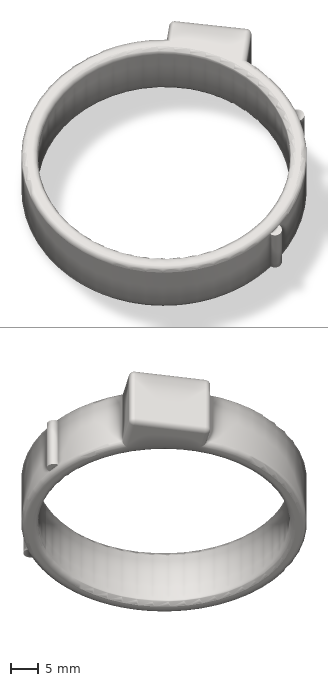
import cadquery as cq
import math

RING_OUTER_RADIUS = 26.0
WALL_THICKNESS = 3.0
RING_HEIGHT = 12.0
EDGE_RADIUS = 1.0
BORE_RADIUS = RING_OUTER_RADIUS - WALL_THICKNESS

BLOCK_TURN = 26.5
BLOCK_WIDTH = 15.1
BLOCK_OFFSET = 4.65
BLOCK_REACH = 30.1

INSERT_START_ANGLE = -5.0
INSERT_SPAN = 60.0
INSERT_THICKNESS = 1.0
INSERT_HEIGHT = RING_HEIGHT - 2 * EDGE_RADIUS

RIB_RADIUS = 1.3
RIB_HEIGHT = INSERT_HEIGHT


def disc(radius, height):
    """Cylinder about the Z axis, centred on the XY plane."""
    return cq.Workplane("XY").circle(radius).extrude(height / 2, both=True)


def make_block():
    """Block reaching from the ring axis out to its flat outer face, with rounded corners."""
    block = (
        cq.Workplane("XY")
        .center(BLOCK_OFFSET, BLOCK_REACH / 2)
        .rect(BLOCK_WIDTH, BLOCK_REACH)
        .extrude(RING_HEIGHT / 2, both=True)
        .edges("|Z and >Y")
        .fillet(EDGE_RADIUS)
    )
    return block.rotate((0, 0, 0), (0, 0, 1), BLOCK_TURN)


def make_ribs():
    """Two upright round ribs, centred on the outer surface of the ring."""
    end_angles = [INSERT_START_ANGLE, INSERT_START_ANGLE + INSERT_SPAN]
    centres = [
        (
            RING_OUTER_RADIUS * math.cos(math.radians(angle)),
            RING_OUTER_RADIUS * math.sin(math.radians(angle)),
        )
        for angle in end_angles
    ]
    return cq.Workplane("XY").pushPoints(centres).circle(RIB_RADIUS).extrude(RIB_HEIGHT / 2, both=True)


def make_insert():
    """Arc-shaped plate whose inner face is part of the bore."""
    return (
        cq.Workplane("XZ")
        .moveTo(BORE_RADIUS + INSERT_THICKNESS / 2, 0)
        .rect(INSERT_THICKNESS, INSERT_HEIGHT)
        .revolve(INSERT_SPAN, (0, 0), (0, 1))
        .rotate((0, 0, 0), (0, 0, 1), INSERT_START_ANGLE)
    )


def make_ring(insert):
    """Ring with its block and ribs, and a recess that holds the insert."""
    body = disc(RING_OUTER_RADIUS, RING_HEIGHT).union(make_block())
    body = body.cut(disc(BORE_RADIUS, RING_HEIGHT))
    body = body.faces("<Z or >Z").edges().fillet(EDGE_RADIUS)
    return body.union(make_ribs()).cut(insert)


insert = make_insert()
ring = make_ring(insert)

result = cq.Compound.makeCompound([ring.solids().val(), insert.solids().val()])